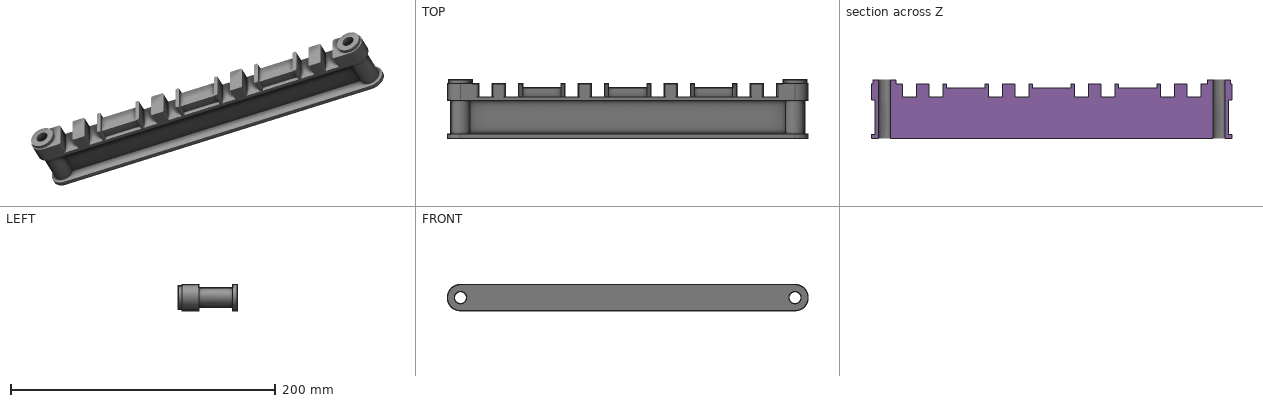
import cadquery as cq

pin_spacing = 253.0
link_height = 20.0
end_radius = link_height / 2
hole_diameter = 9.0
spool_diameter = 15.0
collar_diameter = 18.0

front_plate_thickness = 3.5
spool_length = 25.5
back_wall_thickness = 2.7
tooth_depth = 10.0
collar_length = 3.0
back_wall_y = front_plate_thickness + spool_length
tooth_root_y = back_wall_y + back_wall_thickness
tooth_tip_y = tooth_root_y + tooth_depth
total_width = tooth_tip_y + collar_length

web_thickness = 3.0

tooth_pitch = 65.0
wide_tooth_width = 10.0
wide_tooth_round = 1.0
ledge_count = 3
ledge_length = 28.8
ledge_depth = 7.0
ledge_height = 14.0
narrow_tooth_width = 3.1
narrow_tooth_outer_round = 1.5
narrow_tooth_inner_round = 1.0
end_block_reach = 14.0
end_block_round = 1.5

pin_positions = [-pin_spacing / 2, pin_spacing / 2]
ledge_positions = [(i - (ledge_count - 1) / 2) * tooth_pitch for i in range(ledge_count)]
wide_tooth_positions = [(i - ledge_count / 2) * tooth_pitch for i in range(ledge_count + 1)]


def y_plane(y):
    """Sketch plane at the given Y whose positive extrusion runs toward +Y."""
    return cq.Workplane(cq.Plane(origin=(0, y, 0), xDir=(1, 0, 0), normal=(0, 1, 0)))


def rounded_plate(y, thickness):
    """Full-length plate with semicircular ends around the pins."""
    ends = pin_cylinders(link_height, y, thickness)
    return ends.union(bar(*pin_positions, y, thickness, link_height))


def pin_cylinders(diameter, y, length):
    """One cylinder on each pin axis."""
    return y_plane(y).pushPoints([(x, 0) for x in pin_positions]).circle(diameter / 2).extrude(length)


def bar(x_min, x_max, y, depth, height):
    """Box centred on Z = 0 and starting at the given Y."""
    size = (x_max - x_min, depth, height)
    return cq.Workplane("XY", origin=(x_min, y, 0)).box(*size, centered=(False, False, True))


def tooth(x_min, x_max, left_round, right_round):
    """Full-height tooth whose edges along Y are rounded on each side."""
    body = bar(x_min, x_max, tooth_root_y, tooth_depth, link_height)
    return body.edges("|Y and <X").fillet(left_round).edges("|Y and >X").fillet(right_round)


def end_block():
    """Left end of the toothed back: round about the pin, with a rounded inner side."""
    block_right = -pin_spacing / 2 + end_block_reach
    barrel = y_plane(tooth_root_y).center(-pin_spacing / 2, 0).circle(end_radius).extrude(tooth_depth)
    block = bar(-pin_spacing / 2, block_right, tooth_root_y, tooth_depth, link_height)
    return barrel.union(block.edges("|Y and >X").fillet(end_block_round))


def ledge_group(x):
    """Ledge centred at x with a narrow tooth at each end."""
    inner = ledge_length / 2
    outer = inner + narrow_tooth_width
    ledge = bar(x - inner, x + inner, tooth_root_y, ledge_depth, ledge_height)
    left = tooth(x - outer, x - inner, narrow_tooth_outer_round, narrow_tooth_inner_round)
    right = tooth(x + inner, x + outer, narrow_tooth_inner_round, narrow_tooth_outer_round)
    return ledge.union(left).union(right)


link = rounded_plate(0, front_plate_thickness)
link = link.union(rounded_plate(back_wall_y, back_wall_thickness))
link = link.union(pin_cylinders(spool_diameter, front_plate_thickness, spool_length))
link = link.union(bar(*pin_positions, front_plate_thickness, spool_length, web_thickness))

left_block = end_block()
link = link.union(left_block).union(left_block.mirror("YZ"))
for x in ledge_positions:
    link = link.union(ledge_group(x))
half_width = wide_tooth_width / 2
for x in wide_tooth_positions:
    link = link.union(tooth(x - half_width, x + half_width, wide_tooth_round, wide_tooth_round))

link = link.union(pin_cylinders(collar_diameter, tooth_tip_y, collar_length))
result = link.cut(pin_cylinders(hole_diameter, 0, total_width)).clean()